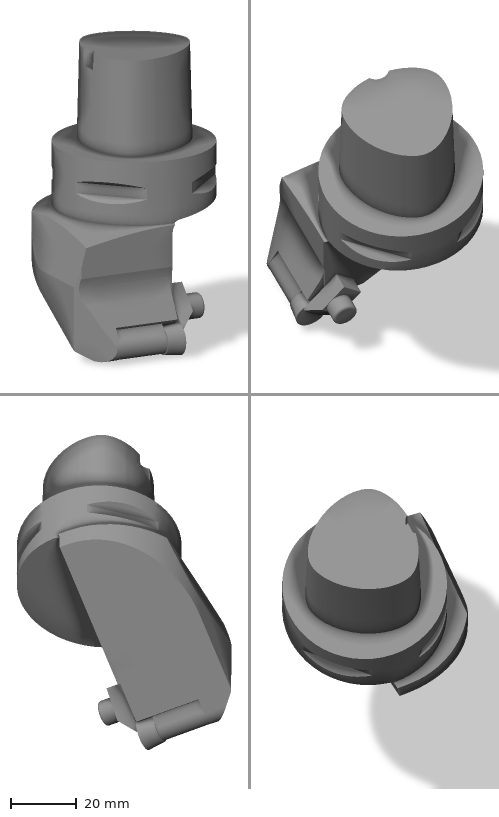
import cadquery as cq
import math


shank_length = 30.0
shank_radius = 17.55
lobe_height = 1.17
shank_taper = 1 / 40
flat_half_angle = 24.0
spline_steps = 6

notch_diameter = 7.9
notch_depth = 5.6
notch_center_y = -17.7

flange_diameter = 50.0
flange_radius = flange_diameter / 2
flange_height = 20.0
groove_center_z = -10.05
groove_floor_radius = 22.25
groove_floor_width = 3.5
groove_wall_angle = 30.0

insert_diameter = 10.0
insert_radius = insert_diameter / 2
insert_x = 30.1
insert_z = -55.0
insert_clearance = 7.0
insert_thickness = 5.75

head_back_x = -27.0
head_side_x = 26.0
head_bend_radius = 30.0
head_bend_x = head_back_x + head_bend_radius
head_front_y = -32.7
head_bend_y = head_front_y + head_bend_radius
head_top_angle = 15.0
slant_angle = 15.0
slant_foot_z = -36.2
corner_x = 24.37
corner_radius = 1.2
tip_radius = 7.9 / 2
tip_x_limit = insert_x + tip_radius
lower_angle = 30.0
flank_angle = 60.0
neck_radius = 10.0
neck_min_x = 25.5

underside_angle = 5.8
underside_root_z = -19.45
underside_fillet = 3.4

step_depth = 0.8
step_z = -49.5
relief_radius = 3.85
relief_back = 3.9
relief_end_y = -21.8

clamp_width = 8.0
screw_x = 23.4
screw_z = -47.35
screw_diameter = 7.9
screw_top_y = 10.4
screw_edge = 0.8
clamp_height = 5.4
clamp_tail = 6.6
clamp_nose = 7.7
clamp_bevel_top = 3.8
clamp_bevel_foot = 9.8

SLACK = 5.0


def sin(degrees):
    return math.sin(math.radians(degrees))


def cos(degrees):
    return math.cos(math.radians(degrees))


def tan(degrees):
    return math.tan(math.radians(degrees))


def toward_tip(x, z, y=0):
    """Sketch plane on a Y level: local x aims at the tip, local normal is +Y."""
    return cq.Workplane(cq.Plane(origin=(x, y, z), xDir=(1, 0, -1), normal=(0, 1, 0)))


def beside_tip(x, z):
    """Upright sketch plane: local x aims at the tip, local y is +Y."""
    return cq.Workplane(cq.Plane(origin=(x, 0, z), xDir=(1, 0, -1), normal=(1, 0, 1)))


def lobed_wire(mean_radius, z):
    """Curve of constant width with three lobes, one of them toward +Y."""
    def point(angle):
        reach = mean_radius - lobe_height * sin(3 * angle)
        turn = -3 * lobe_height * cos(3 * angle)
        return (reach * cos(angle) - turn * sin(angle), reach * sin(angle) + turn * cos(angle))

    wire = cq.Workplane("XY", origin=(0, 0, z)).moveTo(*point(-90 - flat_half_angle))
    for side in range(3):
        middle = -90 + 120 * side
        for start, end in (
            (middle - flat_half_angle, middle + flat_half_angle),
            (middle + flat_half_angle, middle + 120 - flat_half_angle),
        ):
            angles = [start + (end - start) * step / spline_steps for step in range(1, spline_steps + 1)]
            wire = wire.spline([point(angle) for angle in angles], includeCurrent=True)
    return wire.close().val()


def make_shank():
    top_radius = shank_radius - shank_taper * shank_length
    wires = [lobed_wire(shank_radius, 0), lobed_wire(top_radius, shank_length)]
    shank = cq.Workplane(cq.Solid.makeLoft(wires, True))
    notch = (
        cq.Workplane("XY", origin=(0, notch_center_y, shank_length - notch_depth))
        .circle(notch_diameter / 2)
        .extrude(notch_depth + SLACK)
    )
    return shank.cut(notch)


def make_groove_cutter():
    outer_radius = flange_radius + SLACK
    floor_half = groove_floor_width / 2
    mouth_half = floor_half + (outer_radius - groove_floor_radius) * tan(groove_wall_angle)
    return (
        cq.Workplane("XZ", origin=(0, 0, groove_center_z))
        .moveTo(groove_floor_radius, -floor_half)
        .lineTo(outer_radius, -mouth_half)
        .lineTo(outer_radius, mouth_half)
        .lineTo(groove_floor_radius, floor_half)
        .close()
        .extrude(flange_radius, both=True)
    )


def make_flange():
    flange = cq.Workplane("XY").circle(flange_radius).extrude(-flange_height)
    for index in range(4):
        flange = flange.cut(make_groove_cutter().rotate((0, 0, 0), (0, 0, 1), 45 + 90 * index))
    return flange


def head_plan():
    """Head outline seen along Z: rounded back corner, beveled front corner."""
    bevel_y = head_front_y + tip_x_limit - corner_x
    back_y = underside_fillet + SLACK
    diagonal = head_bend_radius * sin(45)
    plan = (
        cq.Workplane("XY")
        .moveTo(head_back_x, back_y)
        .lineTo(head_back_x, head_bend_y)
        .threePointArc((head_bend_x - diagonal, head_bend_y - diagonal), (head_bend_x, head_front_y))
        .lineTo(corner_x, head_front_y)
        .lineTo(tip_x_limit, bevel_y)
        .lineTo(tip_x_limit, back_y)
        .close()
        .extrude(insert_z - insert_diameter)
    )
    corner = cq.selectors.NearestToPointSelector((corner_x, head_front_y, (insert_z - insert_diameter) / 2))
    return plan.edges(corner).fillet(corner_radius)


def head_elevation():
    """Head outline seen along Y: slanted underside, round tip and neck."""
    lower_tangent = (insert_x - tip_radius * sin(lower_angle), insert_z - tip_radius * cos(lower_angle))
    flank_tangent = (insert_x + tip_radius * sin(flank_angle), insert_z + tip_radius * cos(flank_angle))
    tip_middle = (insert_x + tip_radius * sin(45), insert_z - tip_radius * cos(45))
    back_bottom_z = lower_tangent[1] + (lower_tangent[0] - head_back_x) * tan(lower_angle)

    arc_x = neck_min_x + neck_radius
    neck_end_x = arc_x - neck_radius * sin(flank_angle)
    neck_end_z = flank_tangent[1] + (flank_tangent[0] - neck_end_x) * tan(flank_angle)
    arc_z = neck_end_z + neck_radius * cos(flank_angle)
    neck_start_z = arc_z + math.sqrt(neck_radius**2 - (arc_x - head_side_x) ** 2)
    return (
        cq.Workplane("XZ", origin=(0, underside_fillet + SLACK, 0))
        .moveTo(head_back_x, 0)
        .lineTo(head_back_x, back_bottom_z)
        .lineTo(*lower_tangent)
        .threePointArc(tip_middle, flank_tangent)
        .lineTo(neck_end_x, neck_end_z)
        .threePointArc((neck_min_x, arc_z), (head_side_x, neck_start_z))
        .lineTo(head_side_x, 0)
        .close()
        .extrude(underside_fillet + SLACK - head_front_y)
    )


def head_shoulder():
    """Space under the conical shoulder that spreads from the flange's lower rim."""
    reach = 2 * flange_radius
    drop = (reach - flange_radius) * tan(head_top_angle)
    floor_z = insert_z - insert_diameter
    return (
        cq.Workplane("XZ")
        .moveTo(0, -flange_height)
        .lineTo(flange_radius, -flange_height)
        .lineTo(reach, -flange_height - drop)
        .lineTo(reach, floor_z)
        .lineTo(0, floor_z)
        .close()
        .revolve(360, (0, 0, 0), (0, 1, 0))
    )


def side_profile():
    """Outline seen along X: flange underside, root fillet, rake face, slanted front."""
    floor_z = insert_z - insert_diameter
    setback = underside_fillet * tan((90 - underside_angle) / 2)
    slant_top_y = head_front_y - (slant_foot_z + flange_height) * tan(slant_angle)
    rise = tan(underside_angle)
    fillet_top = (setback * cos(underside_angle), underside_root_z + setback * sin(underside_angle))
    tangent_turn = 180 - (90 - underside_angle) / 2
    fillet_center_z = underside_root_z - setback
    fillet_middle = (
        underside_fillet + underside_fillet * cos(tangent_turn),
        fillet_center_z + underside_fillet * sin(tangent_turn),
    )
    return (
        cq.Workplane("YZ", origin=(head_back_x, 0, 0))
        .moveTo(flange_radius, 0)
        .lineTo(flange_radius, underside_root_z + flange_radius * rise)
        .lineTo(*fillet_top)
        .threePointArc(fillet_middle, (0, fillet_center_z))
        .lineTo(0, floor_z)
        .lineTo(head_front_y, floor_z)
        .lineTo(head_front_y, slant_foot_z)
        .lineTo(slant_top_y, -flange_height)
        .lineTo(slant_top_y, 0)
        .close()
        .extrude(tip_x_limit - head_back_x)
    )


def make_step_cutter():
    """Shallow step that clears the insert's upper edge along the neck and the tip."""
    floor_z = insert_z - insert_diameter
    return (
        cq.Workplane("XZ", origin=(0, SLACK, 0))
        .moveTo(head_back_x, step_z)
        .lineTo(neck_min_x, step_z)
        .lineTo(neck_min_x, slant_foot_z)
        .lineTo(tip_x_limit, slant_foot_z)
        .lineTo(tip_x_limit, floor_z)
        .lineTo(head_back_x, floor_z)
        .close()
        .extrude(SLACK + step_depth)
    )


def make_relief_cutter():
    """Space around the insert and around the narrowed, round-ended nose that carries it."""
    length = insert_diameter + relief_back
    nose_height = -relief_end_y - insert_thickness
    around = (
        toward_tip(insert_x, insert_z)
        .center(length / 2 - relief_back, 0)
        .rect(length, 2 * insert_diameter)
        .extrude(relief_end_y)
    )
    nose = toward_tip(insert_x, insert_z, relief_end_y).circle(relief_radius).extrude(nose_height)
    stem = (
        toward_tip(insert_x, insert_z, relief_end_y)
        .center(-relief_back / 2, 0)
        .rect(relief_back, 2 * relief_radius)
        .extrude(nose_height)
    )
    return around.cut(nose).cut(stem)


def make_insert():
    """Tapered disc with its larger face level with the rake face."""
    return (
        toward_tip(insert_x, insert_z)
        .circle(insert_radius)
        .extrude(-insert_thickness, taper=insert_clearance)
    )


def make_clamp():
    """Clamp bar with a round, beveled nose."""
    straight = clamp_tail + clamp_nose
    bar = (
        toward_tip(screw_x, screw_z)
        .center(straight / 2 - clamp_tail, 0)
        .rect(straight, clamp_width)
        .extrude(clamp_height)
    )
    nose = (
        toward_tip(screw_x, screw_z)
        .center(clamp_nose, 0)
        .circle(clamp_width / 2)
        .extrude(clamp_height)
    )
    bevel = (
        beside_tip(screw_x, screw_z)
        .moveTo(-clamp_tail, 0)
        .lineTo(clamp_bevel_foot, 0)
        .lineTo(clamp_bevel_top, clamp_height)
        .lineTo(-clamp_tail, clamp_height)
        .close()
        .extrude(clamp_width, both=True)
    )
    return bar.union(nose).intersect(bevel)


def make_screw_head():
    return (
        toward_tip(screw_x, screw_z)
        .circle(screw_diameter / 2)
        .extrude(screw_top_y)
        .faces(">Y")
        .edges()
        .fillet(screw_edge)
    )


def make_holder():
    head = head_elevation().intersect(head_plan()).intersect(head_shoulder())
    lower = make_flange().union(head).intersect(side_profile())
    lower = lower.cut(make_step_cutter()).cut(make_relief_cutter()).cut(make_insert())
    return lower.union(make_shank()).union(make_clamp()).union(make_screw_head())


holder = make_holder()
insert = make_insert()
result = cq.Compound.makeCompound([holder.solids().val(), insert.val()])